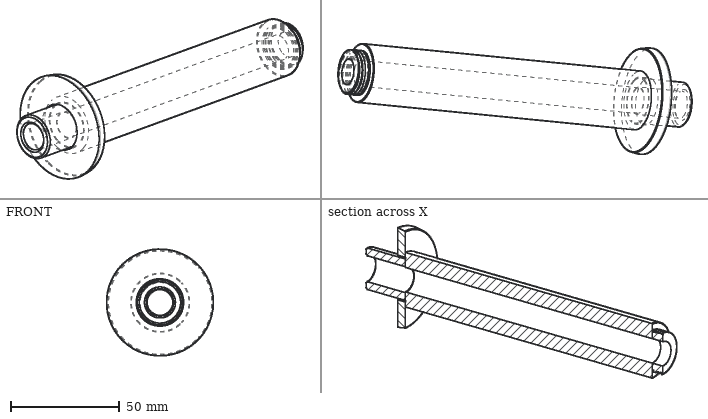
import cadquery as cq

total_length = 175.6
flange_front = 18.8
flange_thickness = 4.7
tube_start = flange_front + flange_thickness
tube_end = 169.5

pipe_radius = 10.45
bore_radius = 6.0
spigot_bore_radius = 6.3
spigot_outer_chamfer = 0.9
spigot_bore_chamfer = 0.9

flange_radius = 24.8
flange_back_radius = 24.2
flange_rim_width = 0.9
flange_back_chamfer = 0.4
flange_hole_radius = 10.98

tube_radius = 13.7
tube_end_chamfer = 0.4

washer_thickness = 0.9
neck_radius = 9.3

thread_pitch = 1.8
thread_depth = 0.9
thread_groove_width = 1.5
thread_length = 5.0
thread_start_angle = 270
thread_overrun = thread_pitch
cutter_overlap = 0.2


def cylinder(radius, start, end):
    """Cylinder on the Y axis between two positions."""
    return cq.Workplane("XZ", origin=(0, start, 0)).circle(radius).extrude(start - end)


def ring(outer_radius, inner_radius, start, end):
    """Cylinder on the Y axis with a concentric through hole."""
    return cylinder(outer_radius, start, end).cut(cylinder(inner_radius, start, end))


def make_spigot():
    """Plain pipe end, chamfered outside and inside, butting against the tube."""
    body = cylinder(pipe_radius, 0, tube_start).faces("<Y").chamfer(spigot_outer_chamfer)
    body = body.cut(cylinder(spigot_bore_radius, 0, tube_start))
    mouth = body.faces("<Y").edges(cq.selectors.RadiusNthSelector(0))
    return mouth.chamfer(spigot_bore_chamfer)


def make_flange():
    """Thin wall flange with a clearance hole around the spigot."""
    profile = [
        (flange_hole_radius, flange_front),
        (flange_radius, flange_front),
        (flange_radius, flange_front + flange_rim_width),
        (flange_back_radius, tube_start - flange_back_chamfer),
        (flange_back_radius - flange_back_chamfer, tube_start),
        (flange_hole_radius, tube_start),
    ]
    return cq.Workplane("XY").polyline(profile).close().revolve(360, (0, 0), (0, 1))


def make_tube():
    """Long outer tube with its far outer edge broken."""
    body = cylinder(tube_radius, tube_start, tube_end).faces(">Y").chamfer(tube_end_chamfer)
    return body.cut(cylinder(bore_radius, tube_start, tube_end))


def make_washer():
    """Flat washer between the tube end and the outlet shoulder."""
    return ring(pipe_radius, neck_radius, tube_end, tube_end + washer_thickness)


def thread_cutter():
    """V-shaped right-hand helical groove, running out through the open end."""
    root_radius = pipe_radius - thread_depth
    outer_radius = pipe_radius + cutter_overlap
    half_width = thread_groove_width / 2 * (thread_depth + cutter_overlap) / thread_depth
    path = cq.Wire.makeHelix(thread_pitch, thread_length + thread_overrun, pipe_radius)
    groove = (
        cq.Workplane("XZ")
        .polyline([(root_radius, 0), (outer_radius, half_width), (outer_radius, -half_width)])
        .close()
        .sweep(cq.Workplane(obj=path), isFrenet=True)
    )
    thread_start = total_length - thread_length + thread_groove_width / 2
    groove = groove.rotate((0, 0, 0), (1, 0, 0), -90).rotate((0, 0, 0), (0, 1, 0), thread_start_angle)
    return groove.translate((0, thread_start, 0))


def make_outlet():
    """Threaded outlet whose narrower neck passes through the washer to the tube end."""
    neck = cylinder(neck_radius, tube_end, tube_end + washer_thickness)
    body = neck.union(cylinder(pipe_radius, tube_end + washer_thickness, total_length))
    body = body.cut(cylinder(bore_radius, tube_end, total_length))
    return body.cut(thread_cutter())


spigot = make_spigot()
flange = make_flange()
tube = make_tube()
washer = make_washer()
outlet = make_outlet()

result = cq.Compound.makeCompound(
    [spigot.val(), flange.val(), tube.val(), washer.val(), outlet.solids().val()]
)